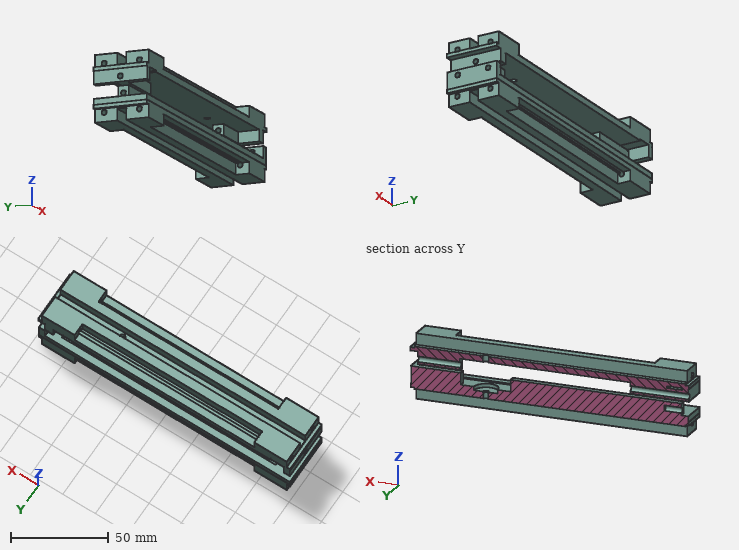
import cadquery as cq

LENGTH = 155.0
WIDTH = 30.0
HEIGHT = 36.0

FOOT_HEIGHT = 7.0
FLANGE_THICKNESS = 2.0
FOOT_START = 2.0
FOOT_END = 152.7
FLANGE_TOP = FOOT_HEIGHT + FLANGE_THICKNESS

POCKET_START = 22.0
POCKET_END = 132.5
POCKET_DEPTH = 6.0
POCKET_WALL_Y = 7.6
SLOT_WIDTH = 5.0
SLOT_DEPTH = 6.2

ROD_DIAMETER = 2.8
ROD_Y = 9.9
ROD_DEPTH = 5.0

RAIL_WIDTH = 6.0

LOWER_FLANGE_LENGTH = 154.7
DECK_START = 0.2
DECK_END = 154.5
DECK_WIDTH = 29.9
DECK_Z = 12.2
LOWER_RAIL_TOP = 18.8
LONG_RAIL_START = 4.2
LONG_RAIL_END = 99.0
SHORT_RAIL_START = 126.6
STOP_START = 150.8
STOP_HOLE_DIAMETER = 2.8
STOP_HOLE_PLUS_Y = 9.6
STOP_HOLE_MINUS_Y = -8.7
STOP_HOLE_Z = 16.0
RAIL_HOLE_DIAMETER = 2.8
RAIL_HOLE_Z = 14.9
RAIL_HOLE_DEPTH = 9.3
DECK_GROOVE_START = 11.6
DECK_GROOVE_END = 143.0
DECK_GROOVE_AXIS_Z = DECK_Z + POCKET_DEPTH - ROD_DEPTH
RECESS_DIAMETER = 13.0
RECESS_DEPTH = 2.0

UPPER_BOTTOM = 20.0
PLATE_BOTTOM = 26.2
TONGUE_BOTTOM = HEIGHT - FLANGE_TOP
HEAD_START = 0.2
HEAD_END = 3.9
NOTCH_END = 12.1
FRONT_RAIL_END = 32.7
BACK_RAIL_START = 127.1
TAIL_START = 145.7
TAIL_END = 150.8
CENTER_HOLE_DIAMETER = 2.8
CENTER_HOLE_Z = 23.0

PIVOT_X = 112.8
PIVOT_DIAMETER = 3.1
PIVOT_CORE_DIAMETER = 2.5
PIVOT_STEP_DEPTH = 0.8


def block(x_start, x_end, width, z_bottom, z_top):
    """Box spanning the given X and Z ranges, centred on Y = 0."""
    size = (x_end - x_start, width, z_top - z_bottom)
    box = cq.Workplane("XY").box(*size, centered=(False, True, False))
    return box.translate((x_start, 0, z_bottom))


def rod(diameter, x_start, x_end, y, z):
    """Cylinder along X."""
    cylinder = cq.Workplane("YZ").circle(diameter / 2).extrude(x_end - x_start)
    return cylinder.translate((x_start, y, z))


def pivot_hole(diameter, z_bottom, z_top):
    """Vertical cylinder on the pivot axis."""
    hole = cq.Workplane("XY").circle(diameter / 2).extrude(z_top - z_bottom)
    return hole.translate((PIVOT_X, 0, z_bottom))


def foot():
    """Foot of the lower body, outer face at Z = 0, with its slot, side pockets and rod bores."""
    body = block(FOOT_START, FOOT_END, WIDTH, 0, FOOT_HEIGHT)
    body = body.cut(block(0, LENGTH, SLOT_WIDTH, 0, SLOT_DEPTH))
    pockets = block(POCKET_START, POCKET_END, WIDTH, 0, POCKET_DEPTH)
    pockets = pockets.cut(block(POCKET_START, POCKET_END, 2 * POCKET_WALL_Y, 0, POCKET_DEPTH))
    body = body.cut(pockets)
    for y in (-ROD_Y, ROD_Y):
        body = body.cut(rod(ROD_DIAMETER, 0, LENGTH, y, ROD_DEPTH))
    return body


def make_lower():
    """Lower body: foot, flange, deck with two rails, and an end stop at +X."""
    body = foot()
    body = body.union(block(0, LOWER_FLANGE_LENGTH, WIDTH, FOOT_HEIGHT, FLANGE_TOP))
    body = body.union(block(DECK_START, DECK_END, DECK_WIDTH, FLANGE_TOP, DECK_Z))

    body = body.union(block(LONG_RAIL_START, LONG_RAIL_END, RAIL_WIDTH, DECK_Z, LOWER_RAIL_TOP))
    body = body.union(block(SHORT_RAIL_START, STOP_START, RAIL_WIDTH, DECK_Z, LOWER_RAIL_TOP))
    body = body.union(block(STOP_START, DECK_END, DECK_WIDTH, DECK_Z, LOWER_RAIL_TOP))

    for y in (STOP_HOLE_PLUS_Y, STOP_HOLE_MINUS_Y):
        body = body.cut(rod(STOP_HOLE_DIAMETER, STOP_START, DECK_END, y, STOP_HOLE_Z))

    rail_hole_end = LONG_RAIL_START + RAIL_HOLE_DEPTH
    body = body.cut(rod(RAIL_HOLE_DIAMETER, LONG_RAIL_START, rail_hole_end, 0, RAIL_HOLE_Z))

    for y in (-ROD_Y, ROD_Y):
        body = body.cut(rod(ROD_DIAMETER, DECK_GROOVE_START, DECK_GROOVE_END, y, DECK_GROOVE_AXIS_Z))

    recess_floor = DECK_Z - RECESS_DEPTH
    body = body.cut(pivot_hole(RECESS_DIAMETER, recess_floor, DECK_Z))
    body = body.cut(pivot_hole(PIVOT_DIAMETER, recess_floor - PIVOT_STEP_DEPTH, recess_floor))
    return body.cut(pivot_hole(PIVOT_CORE_DIAMETER, 0, recess_floor))


def make_upper():
    """Upper body: inverted foot, flange ending in a tongue at +X, head and tail walls, two rails."""
    body = foot().mirror("XY").translate((0, 0, HEIGHT))
    body = body.union(block(0, LENGTH, WIDTH, TONGUE_BOTTOM, HEIGHT - FOOT_HEIGHT))
    body = body.union(block(HEAD_START, TAIL_END, WIDTH, PLATE_BOTTOM, TONGUE_BOTTOM))

    body = body.union(block(HEAD_START, HEAD_END, WIDTH, UPPER_BOTTOM, PLATE_BOTTOM))
    body = body.union(block(HEAD_END, FRONT_RAIL_END, RAIL_WIDTH, UPPER_BOTTOM, PLATE_BOTTOM))
    body = body.union(block(BACK_RAIL_START, TAIL_START, RAIL_WIDTH, UPPER_BOTTOM, PLATE_BOTTOM))
    body = body.union(block(TAIL_START, TAIL_END, WIDTH, UPPER_BOTTOM, PLATE_BOTTOM))

    body = body.cut(block(HEAD_END, NOTCH_END, WIDTH, PLATE_BOTTOM, TONGUE_BOTTOM))

    body = body.cut(rod(CENTER_HOLE_DIAMETER, HEAD_START, TAIL_END, 0, CENTER_HOLE_Z))
    return body.cut(pivot_hole(PIVOT_DIAMETER, UPPER_BOTTOM, HEIGHT))


lower = make_lower()
upper = make_upper()
result = cq.Compound.makeCompound([lower.solids().val(), upper.solids().val()])